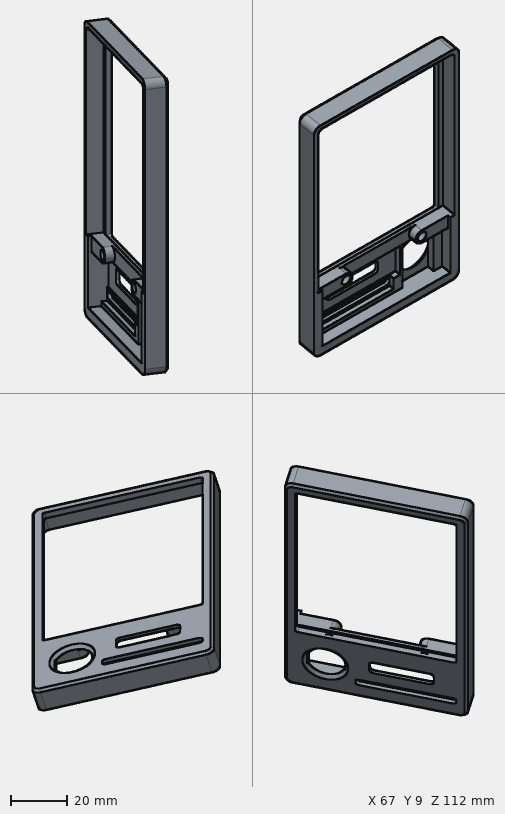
import cadquery as cq

width = 67.0
depth = 9.0
height = 112.0
corner_radius = 3.0
back_chamfer = 1.0

upper_wall = 2.0
ledge_width = 2.0
ledge_y = 6.5
pocket_radius = 2.0
window_radius = 1.0
window_drop = 1.0

lower_wall = upper_wall + ledge_width
bar_bottom = 25.0
bar_top = 31.0
bar_height = bar_top - bar_bottom
plate_y = 5.0
inner_left = lower_wall
inner_right = width - lower_wall

bar_end_y = 1.3
screw_offset = 16.0
screw_diameter = 4.0
screw_depth = 6.0
screw_z = (bar_bottom + bar_top) / 2

round_diameter = 14.0
round_x = 52.0
round_z = 15.0
round_left = round_x - round_diameter / 2
round_right = round_x + round_diameter / 2
recess_y = 7.6

label_y = 4.5

divider_thickness = 1.0
display_right = round_left - divider_thickness
display_bottom = 10.9
display_slot_width = 23.6
display_slot_height = 5.8
display_slot_z = 18.1
display_slot_x = 24.1

strip_right = 41.0
strip_bottom = 5.8
strip_recess_y = 7.2
strip_slot_height = 3.0
strip_slot_z = (strip_bottom + display_bottom) / 2
slot_radius = 1.45


def block(x_range, y_range, z_range):
    """Box between the given limits along each axis."""
    sizes = [high - low for low, high in (x_range, y_range, z_range)]
    corner = (x_range[0], y_range[0], z_range[0])
    return cq.Workplane("XY").box(*sizes, centered=False).translate(corner)


def rounded_block(x_range, y_range, z_range, radius):
    """Box with its four edges along Y rounded."""
    return block(x_range, y_range, z_range).edges("|Y").fillet(radius)


def cylinder(x, z, diameter, y_range):
    """Cylinder along Y."""
    start = cq.Vector(x, y_range[0], z)
    length = y_range[1] - y_range[0]
    return cq.Workplane(cq.Solid.makeCylinder(diameter / 2, length, start, cq.Vector(0, 1, 0)))


def outer_body():
    body = rounded_block((0, width), (0, depth), (0, height), corner_radius)
    return body.faces(">Y").edges().chamfer(back_chamfer)


def upper_opening():
    pocket = block(
        (upper_wall, width - upper_wall), (0, ledge_y), (bar_top, height - upper_wall)
    )
    pocket = pocket.edges("|Y and >Z").fillet(pocket_radius)
    window = rounded_block(
        (inner_left, inner_right),
        (ledge_y, depth),
        (bar_top - window_drop, height - lower_wall),
        window_radius,
    )
    return pocket.union(window)


def lower_compartment():
    compartment = block((inner_left, inner_right), (0, plate_y), (lower_wall, bar_top))
    label_pad = block((round_right, inner_right), (label_y, plate_y), (lower_wall, bar_bottom))
    return compartment.cut(label_pad)


def round_opening():
    recess = block((round_left, round_right), (plate_y, recess_y), (lower_wall, bar_bottom))
    flare = cq.Solid.makeCone(
        round_diameter / 2,
        round_diameter / 2 + depth - recess_y,
        depth - recess_y,
        cq.Vector(round_x, recess_y, round_z),
        cq.Vector(0, 1, 0),
    )
    return recess.union(cq.Workplane(flare))


def display_opening():
    recess = block((inner_left, display_right), (plate_y, recess_y), (display_bottom, bar_bottom))
    slot = rounded_block(
        (display_slot_x - display_slot_width / 2, display_slot_x + display_slot_width / 2),
        (recess_y, depth),
        (display_slot_z - display_slot_height / 2, display_slot_z + display_slot_height / 2),
        slot_radius,
    )
    return recess.union(slot)


def strip_opening():
    recess = block((inner_left, strip_right), (plate_y, strip_recess_y), (strip_bottom, display_bottom))
    slot = rounded_block(
        (inner_left, strip_right),
        (strip_recess_y, depth),
        (strip_slot_z - strip_slot_height / 2, strip_slot_z + strip_slot_height / 2),
        slot_radius,
    )
    return recess.union(slot)


def bar_end(screw_x, wall_x):
    """Raised end of the crossbar, from the side wall to a round nose about the screw."""
    x_range = (min(screw_x, wall_x), max(screw_x, wall_x))
    y_range = (bar_end_y, plate_y)
    end = block(x_range, y_range, (bar_bottom, bar_top))
    return end.union(cylinder(screw_x, screw_z, bar_height, y_range))


result = outer_body().cut(upper_opening()).cut(lower_compartment())
for opening in (round_opening(), display_opening(), strip_opening()):
    result = result.cut(opening)

for screw_x, wall_x in ((screw_offset, inner_left), (width - screw_offset, inner_right)):
    result = result.union(bar_end(screw_x, wall_x))
    hole_range = (bar_end_y, bar_end_y + screw_depth)
    result = result.cut(cylinder(screw_x, screw_z, screw_diameter, hole_range))